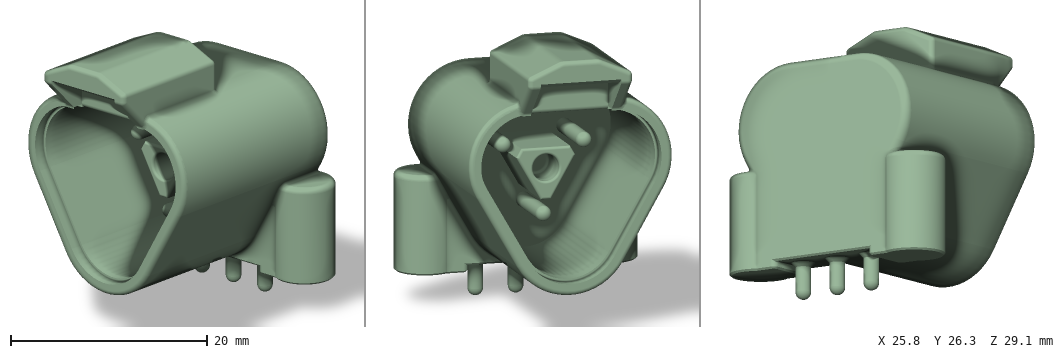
import cadquery as cq
import math


contact_pitch = 8.6
contact_radius = 0.8
upper_contact_z = 14.74
tail_tip_z = -3.05
contact_tip_y = -10.5
collar_radius = 1.25
collar_height = 0.45

shell_radius = 6.52
shell_back_y = 2.81
shell_front_y = -19.64
cavity_radius = 5.0
cavity_floor_y = -shell_back_y
mouth_radius = 5.31
mouth_depth = 1.25
rim_fillet = 0.5
back_fillet = 0.8

foot_radius = 3.2
foot_x = 9.685
foot_height = 10.42
foot_fillet = 0.6
web_half_thickness = shell_back_y
web_half_width = 9.0
recess_height = 0.74
recess_half_width = 5.83
pad_fillet = 0.57
foot_chamfer = 0.2
foot_root_fillet = 0.25

latch_half_width = 5.55
latch_flat_half_width = 2.0
latch_shoulder_z = 24.5
latch_top_z = 26.04
latch_back_y = -8.82
latch_front_y = -23.05
latch_ridge_fillet = 1.5
latch_fillet = 0.5
latch_root_fillet = 0.45
pocket_half_width = contact_pitch / 2
pocket_top_z = 23.43
pocket_lip_rise = 0.42
pocket_lip_depth = 0.6
pocket_fillet = 0.45
pocket_wall_y = shell_front_y + mouth_depth

post_side_distance = 2.12
post_corner_distance = 3.31
post_height = 8.0
post_fillet = 0.28
post_hole_radius = 1.42
post_hole_depth = 4.0
post_hole_mouth_fillet = 0.24
post_hole_floor_fillet = 0.28

triangle_height = contact_pitch * math.sqrt(3) / 2
lower_contact_z = upper_contact_z - triangle_height
post_z = upper_contact_z - triangle_height / 3
contact_centres = [
    (contact_pitch / 2, upper_contact_z),
    (-contact_pitch / 2, upper_contact_z),
    (0, lower_contact_z),
]
cavity_top_z = upper_contact_z + cavity_radius
side_angle = math.radians(30)
overhang_foot_z = upper_contact_z + mouth_radius


def plane_at(y):
    """Sketch plane parallel to XZ at the given Y, extruding toward -Y."""
    return cq.Workplane("XZ", origin=(0, y, 0))


def rounded_triangle(y, radius):
    """Outline at distance `radius` around the contact triangle, on the plane at the given Y."""

    def corner_point(centre, degrees):
        angle = math.radians(degrees)
        return (centre[0] + radius * math.cos(angle), centre[1] + radius * math.sin(angle))

    right, left, bottom = contact_centres
    return (
        plane_at(y)
        .moveTo(*corner_point(right, -30))
        .threePointArc(corner_point(right, 30), corner_point(right, 90))
        .lineTo(*corner_point(left, 90))
        .threePointArc(corner_point(left, 150), corner_point(left, 210))
        .lineTo(*corner_point(bottom, 210))
        .threePointArc(corner_point(bottom, 270), corner_point(bottom, 330))
        .close()
    )


def shell_side_x(z):
    """X of the shell's sloping flat side at height z."""
    rise = (z - upper_contact_z) * math.sin(side_angle)
    return contact_pitch / 2 + (shell_radius + rise) / math.cos(side_angle)


def shell_side_z(x):
    """Height of the shell's sloping flat side at the given X."""
    run = (x - contact_pitch / 2) * math.cos(side_angle)
    return upper_contact_z + (run - shell_radius) / math.sin(side_angle)


def make_shell():
    """Solid shell with its front rim and back edge rounded."""
    shell = rounded_triangle(shell_back_y, shell_radius).extrude(shell_back_y - shell_front_y)
    shell = shell.faces("<Y").edges().fillet(rim_fillet)
    return shell.faces(">Y").edges().fillet(back_fillet)


def make_feet():
    """Two round feet joined by a web whose underside is recessed between the feet."""
    web = cq.Workplane("XY").box(
        2 * web_half_width, 2 * web_half_thickness, foot_height, centered=(True, True, False)
    )
    recess = cq.Workplane("XY").box(2 * recess_half_width, 2 * foot_radius, 2 * recess_height)
    web = web.cut(recess)
    pad_corner_limit = recess_half_width + pad_fillet
    pad_corners = cq.selectors.BoxSelector(
        (-pad_corner_limit, -foot_radius, 0),
        (pad_corner_limit, foot_radius, recess_height),
    )
    web = web.edges("|Z").edges(pad_corners).fillet(pad_fillet)
    columns = (
        cq.Workplane("XY")
        .pushPoints([(foot_x, 0), (-foot_x, 0)])
        .circle(foot_radius)
        .extrude(foot_height)
        .faces(">Z").edges().fillet(foot_fillet)
    )
    feet = web.union(columns)
    feet = feet.faces("<Z").edges().chamfer(foot_chamfer)
    recess_edges = cq.selectors.BoxSelector(
        (-recess_half_width, -foot_radius, recess_height - foot_chamfer),
        (recess_half_width, foot_radius, recess_height + foot_chamfer),
    )
    return feet.edges("|X").edges(recess_edges).chamfer(foot_chamfer)


def make_latch():
    """Gabled block whose overhanging front is cut away at 45 degrees."""
    latch = (
        plane_at(latch_back_y)
        .moveTo(-latch_half_width, upper_contact_z)
        .lineTo(-latch_half_width, latch_shoulder_z)
        .lineTo(-latch_flat_half_width, latch_top_z)
        .lineTo(latch_flat_half_width, latch_top_z)
        .lineTo(latch_half_width, latch_shoulder_z)
        .lineTo(latch_half_width, upper_contact_z)
        .close()
        .extrude(latch_back_y - latch_front_y)
    )
    overhang = shell_front_y - latch_front_y
    drop = overhang_foot_z - upper_contact_z
    undercut = (
        cq.Workplane("YZ")
        .moveTo(latch_front_y, overhang_foot_z + overhang)
        .lineTo(shell_front_y + drop, upper_contact_z)
        .lineTo(latch_front_y, upper_contact_z)
        .close()
        .extrude(latch_half_width, both=True)
    )
    latch = latch.cut(undercut)
    latch = latch.edges("|Y and >Z").fillet(latch_ridge_fillet)
    return latch.faces("not <Z").edges("not <Z").fillet(latch_fillet)


def join_feet(shell):
    """Add the feet and round the seam where each one meets the shell."""
    body = shell.union(make_feet())
    top_seam_x = shell_side_x(foot_height)
    web_seam_start_x = shell_radius * math.cos(side_angle)
    web_seam_end_x = foot_x - math.sqrt(foot_radius**2 - web_half_thickness**2)
    web_seam_x = (web_seam_start_x + web_seam_end_x) / 2
    web_seam_z = shell_side_z(web_seam_x)
    seams = []
    for side in (1, -1):
        top_seam = cq.selectors.NearestToPointSelector((side * top_seam_x, 0, foot_height))
        web_seam = cq.selectors.NearestToPointSelector((side * web_seam_x, -web_half_thickness, web_seam_z))
        seams += body.edges(top_seam).vals() + body.edges(web_seam).vals()
    return body.newObject(seams).fillet(foot_root_fillet)


def join_latch(body):
    """Add the latch and round the seam around its root."""
    body = body.union(make_latch())
    seam = cq.selectors.NearestToPointSelector((0, latch_back_y, upper_contact_z + shell_radius))
    return body.edges(seam).fillet(latch_root_fillet)


def make_cavity():
    """Blind cavity with a slightly wider mouth."""
    depth = cavity_floor_y - shell_front_y
    cavity = rounded_triangle(shell_front_y, cavity_radius).extrude(-depth)
    mouth = rounded_triangle(shell_front_y, mouth_radius).extrude(-mouth_depth)
    return cavity.union(mouth)


def make_pocket():
    """Hollow under the latch overhang, blending into the cavity roof with a rounded edge."""
    edge_z = cavity_top_z + pocket_fillet
    inner_y = pocket_wall_y + pocket_fillet
    diagonal = pocket_fillet * math.sqrt(0.5)
    return (
        cq.Workplane("YZ")
        .moveTo(latch_front_y, upper_contact_z)
        .lineTo(latch_front_y, pocket_top_z + pocket_lip_rise)
        .lineTo(latch_front_y + pocket_lip_depth, pocket_top_z)
        .lineTo(pocket_wall_y, pocket_top_z)
        .lineTo(pocket_wall_y, edge_z)
        .threePointArc((inner_y - diagonal, edge_z - diagonal), (inner_y, cavity_top_z))
        .lineTo(inner_y, upper_contact_z)
        .close()
        .extrude(pocket_half_width, both=True)
    )


def make_contact(x, z):
    """Round-ended pin in the cavity."""
    straight_end_y = contact_tip_y + contact_radius
    pin = plane_at(0).center(x, z).circle(contact_radius).extrude(-straight_end_y)
    return pin.union(cq.Workplane("XY").sphere(contact_radius).translate((x, straight_end_y, z)))


def make_tail(x):
    """Round-ended solder tail with a conical collar under the web."""
    straight_end_z = tail_tip_z + contact_radius
    diagonal = contact_radius * math.sqrt(0.5)
    profile = (
        cq.Workplane("XZ")
        .moveTo(0, tail_tip_z)
        .threePointArc((diagonal, straight_end_z - diagonal), (contact_radius, straight_end_z))
        .lineTo(contact_radius, recess_height - collar_height)
        .lineTo(collar_radius, recess_height)
        .lineTo(collar_radius, recess_height + collar_height)
        .lineTo(0, recess_height + collar_height)
        .close()
    )
    return profile.revolve(360, (0, 0, 0), (0, 1, 0)).translate((x, 0, 0))


def post_outline(side_distance, corner_distance):
    """Corners of a triangle pointing down whose three tips are cut square."""
    half_tip = (2 * side_distance - corner_distance) / math.sqrt(3)
    points = []
    for tip_angle in (30, 150, 270):
        angle = math.radians(tip_angle)
        for offset in (-half_tip, half_tip):
            points.append((
                corner_distance * math.cos(angle) - offset * math.sin(angle),
                post_z + corner_distance * math.sin(angle) + offset * math.cos(angle),
            ))
    return points


def make_post():
    """Truncated triangular post with a round blind hole in its end."""
    post_end_y = cavity_floor_y - post_height
    post = (
        plane_at(cavity_floor_y)
        .polyline(post_outline(post_side_distance, post_corner_distance))
        .close()
        .extrude(post_height)
        .faces("<Y").edges().fillet(post_fillet)
    )
    hole = (
        plane_at(post_end_y)
        .center(0, post_z)
        .circle(post_hole_radius)
        .extrude(-post_hole_depth)
        .faces(">Y").edges().fillet(post_hole_floor_fillet)
    )
    post = post.cut(hole)
    hole_mouth = cq.selectors.NearestToPointSelector((0, post_end_y, post_z))
    return post.edges("%CIRCLE").edges(hole_mouth).fillet(post_hole_mouth_fillet)


result = join_latch(join_feet(make_shell()))
result = result.cut(make_cavity()).cut(make_pocket())
for contact_x, contact_z in contact_centres:
    result = result.union(make_contact(contact_x, contact_z))
    result = result.union(make_tail(contact_x))
result = result.union(make_post()).solids()